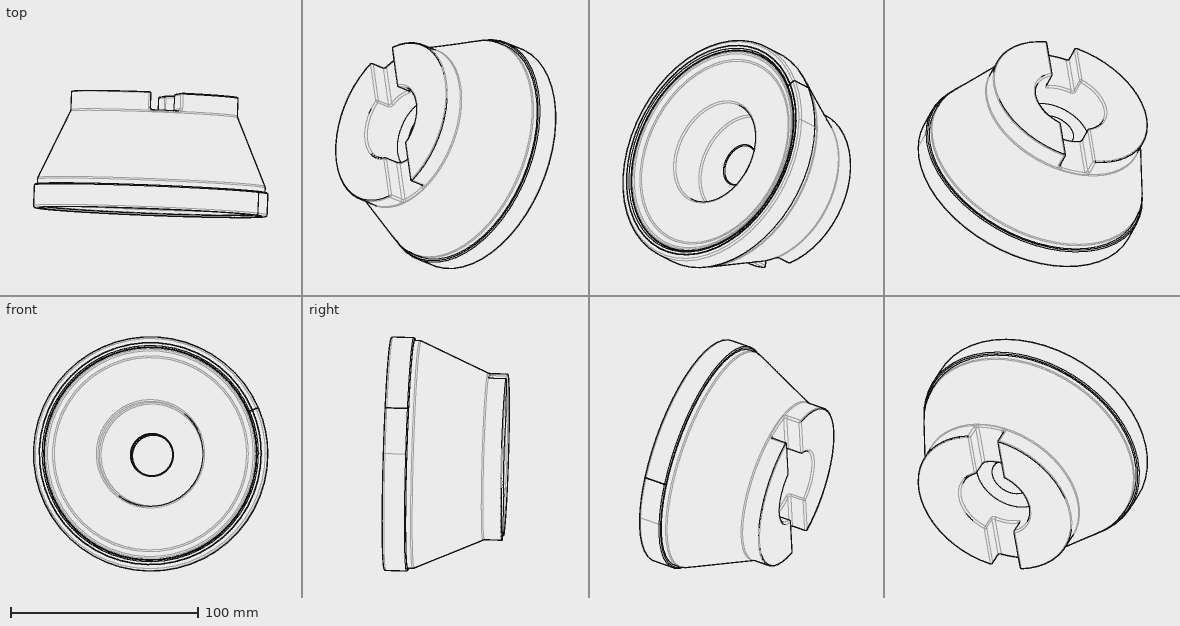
import cadquery as cq
import math

TILT_ABOUT_Z = -2.25
TILT_ABOUT_X = -1.75

total_length = 62.9
outer_radius = 124.9 / 2

hub_radius = 89.0 / 2
hub_length = 10.3
hub_edge_fillet = 0.5
flange_radius = 121.7 / 2
flange_length = 3.0
cone_blend_radius = 2.1

rim_inset = 1.0
rim_edge_chamfer = 0.4
recess_outer_radius = 55.4
recess_floor_radius = 51.9
recess_slope = 30.0
recess_blend_radius = 1.9

front_bore_radius = 56.1 / 2
front_bore_depth = 20.7
front_bore_fillet = 0.9
through_radius = 22.0 / 2
through_chamfer = 0.5
rear_bore_radius = 40.0 / 2
rear_bore_depth = 22.5
rear_bore_fillet = 1.0

slot_width = 16.0
slot_depth = 9.5
slot_angle = 8.0
slot_corner_fillet = 1.3
slot_edge_fillet = 1.0

ring_length = 12.7
outer_ring_inner_radius = 59.4
inner_ring_inner_radius = 57.0
inner_ring_slope = 4.5
ring_clearance = 0.3
ring_front_fillet = 1.0
ring_back_chamfer = 0.6
inner_ring_edge_chamfer = 0.8
ring_slit_width = 0.3
ring_slit_angle = 23.0


def turned(points):
    """Solid of revolution about Y through (radius, axial position) points."""
    return cq.Workplane("XY").polyline(points).close().revolve(360, (0, 0, 0), (0, 1, 0))


def bore(radius, start, end):
    """Cylinder on the Y axis between two axial positions."""
    return cq.Workplane("XZ", origin=(0, end, 0)).circle(radius).extrude(end - start)


def circle_edge(radius, position):
    """Selector for the circular edge of a given radius at an axial position."""
    reach = radius + 0.03
    return cq.selectors.BoxSelector(
        (-reach, position - 0.03, -reach), (reach, position + 0.03, reach), boundingbox=True
    ) - cq.selectors.BoxSelector(
        (-radius + 0.03, position - 0.04, -radius + 0.03),
        (radius - 0.03, position + 0.04, radius - 0.03),
        boundingbox=True,
    )


def make_cup_blank():
    cone_small_end = total_length - hub_length
    cone_large_end = ring_length + flange_length
    recess_floor = rim_inset + (recess_outer_radius - recess_floor_radius) * math.tan(
        math.radians(recess_slope)
    )
    blank = turned([
        (0, recess_floor),
        (recess_floor_radius, recess_floor),
        (recess_outer_radius, rim_inset),
        (inner_ring_inner_radius, rim_inset),
        (inner_ring_inner_radius, ring_length),
        (flange_radius, ring_length),
        (flange_radius, cone_large_end),
        (hub_radius, cone_small_end),
        (hub_radius, total_length),
        (0, total_length),
    ])
    for radius, position, blend in (
        (recess_floor_radius, recess_floor, recess_blend_radius),
        (recess_outer_radius, rim_inset, recess_blend_radius),
        (flange_radius, cone_large_end, cone_blend_radius),
        (hub_radius, cone_small_end, cone_blend_radius),
        (hub_radius, total_length, hub_edge_fillet),
    ):
        blank = blank.edges(circle_edge(radius, position)).fillet(blend)
    bore_floor = recess_floor + front_bore_depth
    blank = blank.cut(bore(front_bore_radius, recess_floor - 1.3, bore_floor))
    blank = blank.cut(bore(through_radius, 0, total_length))
    blank = blank.cut(bore(rear_bore_radius, total_length - rear_bore_depth, total_length))
    for position in (recess_floor, bore_floor):
        blank = blank.edges(circle_edge(front_bore_radius, position)).fillet(front_bore_fillet)
    blank = blank.edges(circle_edge(rear_bore_radius, total_length)).fillet(rear_bore_fillet)
    blank = blank.edges(circle_edge(inner_ring_inner_radius, rim_inset)).chamfer(rim_edge_chamfer)
    return blank.edges(circle_edge(through_radius, bore_floor)).chamfer(through_chamfer)


def make_drive_slot():
    length = 2 * outer_radius
    slot = (
        cq.Workplane("XY")
        .box(slot_width, 2 * slot_depth, length)
        .edges("|Z and <Y")
        .fillet(slot_corner_fillet)
    )
    return slot.rotate((0, 0, 0), (0, 1, 0), slot_angle).translate((0, total_length, 0))


def make_cup():
    cup = make_cup_blank().cut(make_drive_slot())
    slot_walls = cup.faces(cq.selectors.BoxSelector(
        (-slot_width, total_length - slot_depth + slot_corner_fillet, -hub_radius),
        (slot_width, total_length, hub_radius),
    )).faces("%PLANE").faces("not |Y")
    top_edges = slot_walls.edges(">Y")
    end_edges = slot_walls.edges("|Y")
    return cup.newObject(top_edges.vals() + end_edges.vals()).fillet(slot_edge_fillet)


def make_ring_slit():
    slit = cq.Workplane("XY").box(
        outer_radius, 3 * ring_length, ring_slit_width
    ).translate((outer_radius, 0, 0))
    return slit.rotate((0, 0, 0), (0, 1, 0), -ring_slit_angle)


def make_outer_ring():
    ring = turned([
        (outer_ring_inner_radius, 0),
        (outer_radius, 0),
        (outer_radius, ring_length),
        (outer_ring_inner_radius, ring_length),
    ])
    ring = ring.edges(circle_edge(outer_radius, 0)).fillet(ring_front_fillet)
    ring = ring.edges(circle_edge(outer_radius, ring_length)).chamfer(ring_back_chamfer)
    return ring.cut(make_ring_slit())


def make_inner_ring():
    face_radius = outer_ring_inner_radius - ring_clearance
    fall = (face_radius - inner_ring_inner_radius) * math.tan(math.radians(inner_ring_slope))
    ring = turned([
        (inner_ring_inner_radius, fall),
        (face_radius, 0),
        (outer_ring_inner_radius, ring_clearance),
        (outer_ring_inner_radius, ring_length),
        (inner_ring_inner_radius, ring_length),
    ])
    ring = ring.edges(circle_edge(inner_ring_inner_radius, fall)).chamfer(inner_ring_edge_chamfer)
    return ring.cut(make_ring_slit())


def tilted(body):
    body = body.rotate((0, 0, 0), (0, 0, 1), TILT_ABOUT_Z)
    return body.rotate((0, 0, 0), (1, 0, 0), TILT_ABOUT_X)


cup = tilted(make_cup())
outer_ring = tilted(make_outer_ring())
inner_ring = tilted(make_inner_ring())

result = cq.Compound.makeCompound([cup.val(), outer_ring.val(), inner_ring.val()])